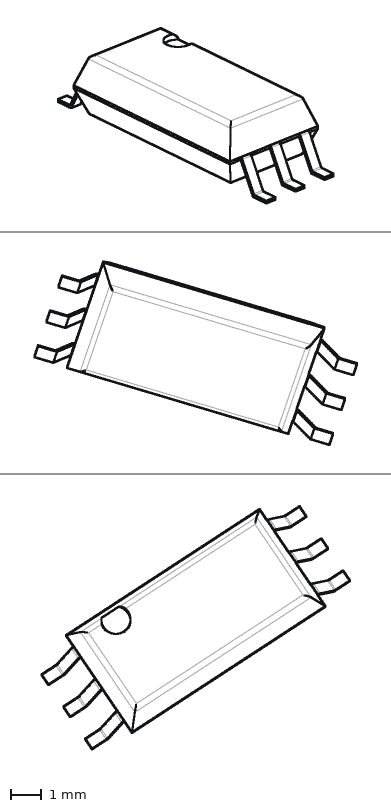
import cadquery as cq
import math

span_x = 10.0
body_length = 7.5
body_width = 3.84
body_top = 2.3
body_bottom = 0.12

band_height = 0.1
band_top = 1.2
band_bottom = band_top - band_height
wall_inset = 0.38
top_rim_radius = 0.2
bottom_rim_radius = 0.17

mark_radius = 0.47
mark_x = -2.25
mark_y = 1.27
mark_depth = 0.2

leads_per_side = 3
lead_pitch = 1.27
lead_width = 0.4
lead_thickness = 0.09
lead_angle = 62.0
foot_length = 0.64
bend_radius = 0.06
lead_top = (band_top + band_bottom + lead_thickness) / 2
lead_underside = lead_top - lead_thickness


def draft_angle(height):
    """Lean of a wall of the given height, in degrees."""
    return math.degrees(math.atan2(wall_inset, height))


def make_body():
    """Package body: parting band with drafted upper and lower halves."""
    band = (
        cq.Workplane("XY", origin=(0, 0, band_bottom))
        .rect(body_length, body_width)
        .extrude(band_height)
    )
    upper = (
        cq.Workplane("XY", origin=(0, 0, band_top))
        .rect(body_length, body_width)
        .extrude(body_top - band_top, taper=draft_angle(body_top - band_top))
    )
    lower = (
        cq.Workplane("XY", origin=(0, 0, band_bottom))
        .rect(body_length, body_width)
        .extrude(body_bottom - band_bottom, taper=draft_angle(band_bottom - body_bottom))
    )
    shell = band.union(upper).union(lower)
    shell = shell.faces(">Z").edges().fillet(top_rim_radius)
    shell = shell.faces("<Z").edges().fillet(bottom_rim_radius)

    mark = (
        cq.Workplane("XY", origin=(mark_x, mark_y, body_top - mark_depth))
        .circle(mark_radius)
        .extrude(mark_depth)
    )
    return shell.cut(mark).solids()


def make_lead(y):
    """One lead on the -X side, centred at the given Y, from its foot to the parting band."""
    slope = math.radians(lead_angle)
    tip_x = -span_x / 2
    root_x = -body_length / 2
    heel_x = tip_x + foot_length
    knee_x = heel_x + lead_underside / math.tan(slope)
    miter = lead_thickness * math.tan(slope / 2)

    outline = [
        (tip_x, 0),
        (heel_x, 0),
        (knee_x, lead_underside),
        (root_x, lead_underside),
        (root_x, lead_top),
        (knee_x - miter, lead_top),
        (heel_x - miter, lead_thickness),
        (tip_x, lead_thickness),
    ]
    strip = (
        cq.Workplane("XZ", origin=(0, y + lead_width / 2, 0))
        .polyline(outline)
        .close()
        .extrude(lead_width)
    )
    for bend_x, bend_z in ((heel_x - miter, lead_thickness), (knee_x - miter, lead_top)):
        bend = cq.selectors.NearestToPointSelector((bend_x, y, bend_z))
        strip = strip.edges(bend).fillet(bend_radius)
    return strip.solids()


body = make_body()

leads = []
for row in range(leads_per_side):
    lead_y = (row - (leads_per_side - 1) / 2) * lead_pitch
    left_lead = make_lead(lead_y)
    right_lead = left_lead.mirror("YZ").solids()
    leads.append(left_lead.val())
    leads.append(right_lead.val())

result = cq.Compound.makeCompound([body.val(), *leads])